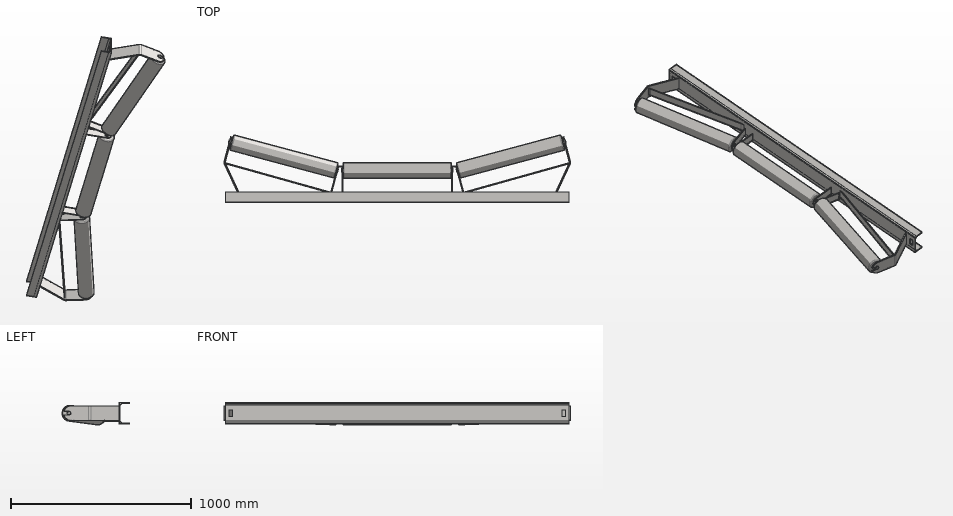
import cadquery as cq
import math


overall_length = 1921.0

channel_length = 1905.0
channel_height = 120.0
flange_depth = 58.0
channel_wall = 5.0
channel_bevel = 10.0
web_slot_spacing = 1845.0
web_slot_width = 20.0
web_slot_height = 36.0

roller_radius = 45.0
roller_length = 600.0
roller_edge_radius = 5.0
shaft_radius = 10.0
inner_reach = 10.0
outer_reach = 17.0
trough_angle = 15.0
forward_tilt = 2.0
roller_y = 120.0
roller_z = -21.0
wing_inner_x = 338.0
shaft_play = 1.0

inner_plate = 5.0
inner_height = 50.0
inner_top_y = 145.0
inner_gap = 2.0

outer_plate = 8.0
outer_height = 80.0
outer_tip = 30.0
bend_y = 163.0
bend_radius = 10.0
foot_angle = 25.0

strut_plate = 5.0
strut_height = 50.0
strut_foot_x = 373.0

cos_tilt = math.cos(math.radians(forward_tilt))
sin_tilt = math.sin(math.radians(forward_tilt))
tan_trough = math.tan(math.radians(trough_angle))
cos_trough = math.cos(math.radians(trough_angle))
sin_trough = math.sin(math.radians(trough_angle))

x_axis = cq.Vector(1, 0, 0)
y_axis = cq.Vector(0, 1, 0)
middle_start = cq.Vector(-roller_length / 2, roller_y, roller_z)
middle_end = cq.Vector(roller_length / 2, roller_y, roller_z)
wing_axis = cq.Vector(cos_tilt * cos_trough, cos_tilt * sin_trough, sin_tilt)
wing_start = cq.Vector(wing_inner_x, roller_y, roller_z)
wing_end = wing_start + wing_axis * roller_length

leg_normal = cq.Vector(cos_trough, sin_trough, 0)
leg_up = cq.Vector(-sin_trough, cos_trough, 0)
bend_centre = cq.Vector(overall_length / 2 - bend_radius - outer_plate, bend_y, 0)


def mirrored_pair(body):
    return [body.val(), body.mirror("YZ").val()]


def centred_on_z(outline, height, middle_z):
    """Upright plate from a closed outline in the XY plane."""
    return outline.extrude(height / 2, both=True).translate((0, 0, middle_z))


def shaft_hole(centre, axis):
    """Cutter for a round hole around a shaft in one leg of an inner bracket."""
    plane = cq.Plane(origin=centre, normal=axis)
    return cq.Workplane(plane).circle(shaft_radius + shaft_play).extrude(inner_reach, both=True)


def shaft_slot(centre, axis, opening):
    """Cutter for a slot around a shaft in an outer bracket, open towards `opening`."""
    plane = cq.Plane(origin=centre, xDir=opening, normal=axis)
    radius = shaft_radius + shaft_play
    mouth = 2 * roller_radius
    return (
        cq.Workplane(plane)
        .moveTo(0, radius)
        .lineTo(mouth, radius)
        .lineTo(mouth, -radius)
        .lineTo(0, -radius)
        .threePointArc((-radius, 0), (0, radius))
        .close()
        .extrude(2 * outer_reach, both=True)
    )


def round_end(tip, normal, along, height):
    """Long bar of the given height with a round tip, to trim a plate's upper end by intersection."""
    plane = cq.Plane(origin=tip, xDir=along, normal=normal)
    radius = height / 2
    return (
        cq.Workplane(plane)
        .moveTo(-radius, radius)
        .threePointArc((0, 0), (-radius, -radius))
        .lineTo(-overall_length, -radius)
        .lineTo(-overall_length, radius)
        .close()
        .extrude(overall_length, both=True)
    )


def channel_body():
    block = (
        cq.Workplane("XY")
        .box(channel_length, flange_depth, channel_height)
        .translate((0, -flange_depth / 2, 0))
    )
    hollow = (
        cq.Workplane("XY")
        .box(channel_length, flange_depth, channel_height - 2 * channel_wall)
        .edges("|X and >Y").chamfer(channel_bevel)
        .translate((0, -flange_depth / 2 - channel_wall, 0))
    )
    web_slots = (
        cq.Workplane("XZ")
        .rarray(web_slot_spacing, 20, 2, 1)
        .rect(web_slot_width, web_slot_height)
        .extrude(channel_wall)
    )
    return block.cut(hollow).cut(web_slots)


def roller_body(start, axis, end_reach):
    """Roller from the centre of its inner end along its axis; its shaft stands out `end_reach` at the far end."""
    plane = cq.Plane(origin=start, normal=axis)
    drum = cq.Workplane(plane).circle(roller_radius).extrude(roller_length)
    drum = drum.edges().fillet(roller_edge_radius)
    shaft = (
        cq.Workplane(plane)
        .workplane(offset=-inner_reach)
        .circle(shaft_radius)
        .extrude(inner_reach + roller_length + end_reach)
    )
    return drum.union(shaft)


def inner_bracket_body():
    straight_x = roller_length / 2 + inner_gap
    slant_foot_x = wing_inner_x - inner_gap / cos_trough + roller_y * tan_trough
    slant_width = inner_plate / cos_trough
    under_top_y = inner_top_y - inner_plate
    outline = cq.Workplane("XY").polyline([
        (straight_x, 0),
        (straight_x, inner_top_y),
        (slant_foot_x - inner_top_y * tan_trough, inner_top_y),
        (slant_foot_x, 0),
        (slant_foot_x - slant_width, 0),
        (slant_foot_x - slant_width - under_top_y * tan_trough, under_top_y),
        (straight_x + inner_plate, under_top_y),
        (straight_x + inner_plate, 0),
    ]).close()
    bracket = centred_on_z(outline, inner_height, roller_z)
    bracket = bracket.intersect(round_end((0, inner_top_y, roller_z), x_axis, y_axis, inner_height))
    return bracket.cut(shaft_hole(middle_end, x_axis)).cut(shaft_hole(wing_start, wing_axis))


def outer_bracket_body():
    foot = math.radians(foot_angle)
    foot_normal = cq.Vector(math.cos(foot), -math.sin(foot), 0)
    foot_down = cq.Vector(-math.sin(foot), -math.cos(foot), 0)
    tip = cq.Vector(wing_end.x, wing_end.y, 0) + leg_up * outer_tip
    leg_length = (tip - bend_centre).dot(leg_up)

    def face_points(radius):
        """Top, bend start, bend middle, bend end and foot of a plate face at a bend radius."""
        bend_start = bend_centre + leg_normal * radius
        bend_end = bend_centre + foot_normal * radius
        bend_middle = bend_centre + x_axis * radius
        top = bend_start + leg_up * leg_length
        foot_end = bend_end + foot_down * (bend_end.y / math.cos(foot))
        return [(p.x, p.y) for p in (top, bend_start, bend_middle, bend_end, foot_end)]

    in_top, in_start, in_middle, in_end, in_foot = face_points(bend_radius)
    out_top, out_start, out_middle, out_end, out_foot = face_points(bend_radius + outer_plate)
    outline = (
        cq.Workplane("XY")
        .moveTo(*in_top)
        .lineTo(*in_start)
        .threePointArc(in_middle, in_end)
        .lineTo(*in_foot)
        .lineTo(*out_foot)
        .lineTo(*out_end)
        .threePointArc(out_middle, out_start)
        .lineTo(*out_top)
        .close()
    )
    bracket = centred_on_z(outline, outer_height, 0)
    bracket = bracket.intersect(round_end(tip, leg_normal, leg_up, outer_height))
    return bracket.cut(shaft_slot(wing_end, wing_axis, leg_up))


def strut_body(bracket):
    """Strut run into the bend's plate, then trimmed to the bracket's inner face."""
    end_x = bend_centre.x + bend_radius + outer_plate / 2
    slope = math.atan2(bend_y, end_x - strut_foot_x)
    outline = cq.Workplane("XY").polyline([
        (strut_foot_x, 0),
        (end_x, bend_y),
        (end_x, bend_y - strut_plate / math.cos(slope)),
        (strut_foot_x + strut_plate / math.sin(slope), 0),
    ]).close()
    return centred_on_z(outline, strut_height, 0).cut(bracket)


channel = channel_body()
middle_roller = roller_body(middle_start, x_axis, inner_reach)
wing_rollers = mirrored_pair(roller_body(wing_start, wing_axis, outer_reach))
inner_brackets = mirrored_pair(inner_bracket_body())
outer_bracket = outer_bracket_body()
outer_brackets = mirrored_pair(outer_bracket)
struts = mirrored_pair(strut_body(outer_bracket))

result = cq.Compound.makeCompound([
    channel.val(),
    middle_roller.val(),
    *wing_rollers,
    *inner_brackets,
    *outer_brackets,
    *struts,
])